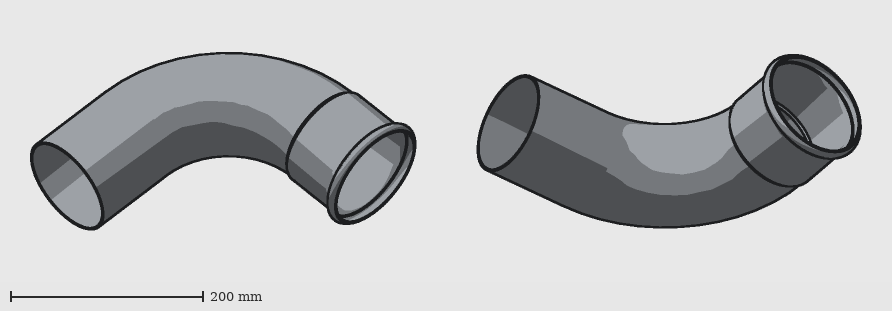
import cadquery as cq

overall_length = 300.0
tube_diameter = 108.0
wall = 2.0
bend_radius = 138.0

socket_step_length = 3.0
socket_straight_length = 57.5
flare_length = 5.5
bead_length = 11.0
bead_diameter = 124.0
bead_edge_diameter = 116.5
flare_arc_rise = 0.55

tube_radius = tube_diameter / 2
socket_radius = tube_radius + wall
bead_radius = bead_diameter / 2
bead_edge_radius = bead_edge_diameter / 2
inlet_length = overall_length - bend_radius - bead_radius


def elbow(radius):
    """Solid round bar along the straight inlet and the 90 degree bend."""
    inlet = (
        cq.Workplane("XZ")
        .circle(radius)
        .extrude(inlet_length)
    )
    bend = (
        cq.Workplane("XZ")
        .circle(radius)
        .revolve(90, (bend_radius, 0), (bend_radius, -1))
    )
    return inlet.union(bend)


def socket(inset):
    """Solid of revolution with every outer radius reduced by the inset."""
    straight_start = bend_radius + socket_step_length
    flare_start = straight_start + socket_straight_length
    bead_start = flare_start + flare_length
    bead_middle = bead_start + bead_length / 2
    mouth = bead_start + bead_length
    flare_middle = flare_start + flare_length / 2
    axis_y = bend_radius

    def at(x, radius):
        return (x, axis_y + radius - inset)

    return (
        cq.Workplane("XY")
        .moveTo(bend_radius, axis_y)
        .lineTo(*at(bend_radius, tube_radius))
        .lineTo(*at(straight_start, socket_radius))
        .lineTo(*at(flare_start, socket_radius))
        .threePointArc(at(flare_middle, socket_radius + flare_arc_rise), at(bead_start, bead_edge_radius))
        .threePointArc(at(bead_middle, bead_radius), at(mouth, bead_edge_radius))
        .lineTo(mouth, axis_y)
        .close()
        .revolve(360, (bend_radius, axis_y), (mouth, axis_y))
    )


outer = elbow(tube_radius).union(socket(0))
bore = elbow(tube_radius - wall).union(socket(wall))
result = outer.cut(bore)